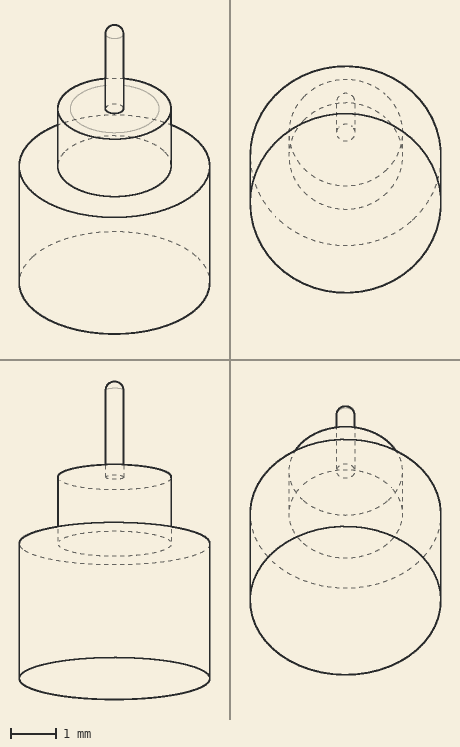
import cadquery as cq
import math

total_height = 6.7
body_diameter = 4.2
body_height = 3.05
collar_diameter = 2.5
collar_height = 1.5
insulator_diameter = 1.955
pin_diameter = 0.4
dome_height = 0.19

body_radius = body_diameter / 2
collar_radius = collar_diameter / 2
insulator_radius = insulator_diameter / 2
pin_radius = pin_diameter / 2
collar_top = body_height + collar_height
dome_base = total_height - dome_height

dome_radius = (pin_radius**2 + dome_height**2) / (2 * dome_height)
dome_center = total_height - dome_radius
dome_half_angle = math.asin(pin_radius / dome_radius) / 2
dome_mid = (
    -dome_radius * math.sin(dome_half_angle),
    dome_center + dome_radius * math.cos(dome_half_angle),
)

half_section = (
    cq.Workplane("XZ")
    .lineTo(-body_radius, 0)
    .lineTo(-body_radius, body_height)
    .lineTo(-collar_radius, body_height)
    .lineTo(-collar_radius, collar_top)
    .lineTo(-insulator_radius, collar_top)
    .lineTo(-pin_radius, collar_top)
    .lineTo(-pin_radius, dome_base)
    .threePointArc(dome_mid, (0, total_height))
    .close()
)

result = half_section.revolve(360, (0, 0), (0, 1), clean=False)